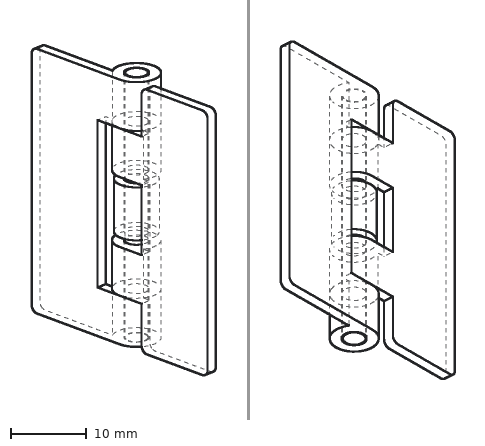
import cadquery as cq

hinge_height = 38.0
hinge_width = 32.0
knuckle_radius = 3.25
leaf_thickness = 1.6
corner_radius = 1.0

knuckle_length = 7.0
sleeve_length = 7.6

bore_radius = knuckle_radius - leaf_thickness
pin_radius = 1.52
sleeve_radius = 3.0

edge_setback = 4.0

half_width = hinge_width / 2
half_height = hinge_height / 2
leaf_front = -knuckle_radius
window_height = hinge_height - 2 * knuckle_length
slot_height = window_height - 2 * knuckle_length

outer_knuckle_bottoms = [-half_height, half_height - knuckle_length]
inner_knuckle_bottoms = [-window_height / 2, slot_height / 2]


def cylinder(radius, bottom, length):
    """Solid cylinder on the hinge axis."""
    return cq.Workplane("XY").workplane(offset=bottom).circle(radius).extrude(length)


def plate(x_start, x_end, bottom, height):
    """Flat strip of leaf material between two X positions."""
    return cq.Workplane("XY").box(
        x_end - x_start, leaf_thickness, height, centered=False
    ).translate((x_start, leaf_front, bottom))


def add_knuckles(leaf, neck_start, neck_end, bottoms):
    """Join knuckles to a leaf by tangent necks, then bore them for the pin."""
    for bottom in bottoms:
        leaf = leaf.union(plate(neck_start, neck_end, bottom, knuckle_length))
        leaf = leaf.union(cylinder(knuckle_radius, bottom, knuckle_length))
    return leaf.cut(cylinder(bore_radius, -half_height, hinge_height))


def make_left_leaf():
    """Leaf on the -X side, carrying the two outer knuckles."""
    leaf = plate(-half_width, -edge_setback, -half_height, hinge_height)
    leaf = leaf.edges("|Y and <X").fillet(corner_radius)
    return add_knuckles(leaf, -edge_setback, 0, outer_knuckle_bottoms)


def make_right_leaf():
    """Leaf on the +X side, carrying the two inner knuckles."""
    leaf = plate(edge_setback, half_width, -half_height, hinge_height)
    leaf = leaf.edges("|Y").fillet(corner_radius)
    return add_knuckles(leaf, 0, edge_setback, inner_knuckle_bottoms)


def make_pin():
    """Straight pin running the full height, loose in the knuckle bores."""
    return cylinder(pin_radius, -half_height, hinge_height)


def make_sleeve():
    """Loose sleeve around the pin, midway between the inner knuckles."""
    bottom = -sleeve_length / 2
    sleeve = cylinder(sleeve_radius, bottom, sleeve_length)
    return sleeve.cut(cylinder(bore_radius, bottom, sleeve_length))


left_leaf = make_left_leaf()
right_leaf = make_right_leaf()
pin = make_pin()
sleeve = make_sleeve()

result = cq.Compound.makeCompound([left_leaf.val(), right_leaf.val(), pin.val(), sleeve.val()])